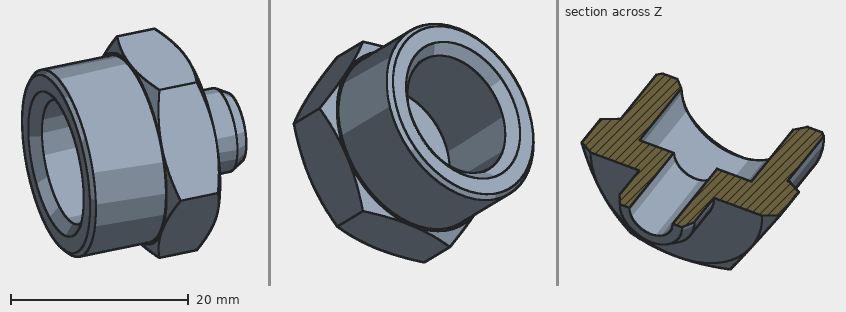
import cadquery as cq
import math

hex_corners = 25.4
hex_flats = hex_corners * math.cos(math.radians(30))
hex_length = 6.5
hex_chamfer_angle = 30.0

collar_diameter = 21.5
collar_length = 9.0
collar_chamfer = 0.5

spigot_diameter = 9.63
spigot_length = 6.0
spigot_taper_length = 1.42
spigot_taper_angle = 30.0

bore_diameter = 14.3
bore_depth = 11.0
bore_mouth_diameter = 16.65
bore_mouth_angle = 45.0
passage_diameter = 5.5

total_length = collar_length + hex_length + spigot_length


def revolve_profile(points):
    """Turn (radius, y) points around the Y axis."""
    profile = cq.Workplane("XY").polyline(points).close()
    return profile.revolve(360, (0, 0, 0), (0, 1, 0))


def make_hexagon():
    """Hexagon with corners on X, its corners turned off by a cone at both ends."""
    start = collar_length
    end = start + hex_length
    face_radius = hex_flats / 2
    corner_radius = hex_corners / 2
    corner_drop = (corner_radius - face_radius) * math.tan(math.radians(hex_chamfer_angle))
    prism = (
        cq.Workplane("XZ", origin=(0, start, 0))
        .polygon(6, hex_corners)
        .extrude(-hex_length)
    )
    overshoot = 0.25
    outer_radius = corner_radius + overshoot
    outer_drop = corner_drop * (outer_radius - face_radius) / (corner_radius - face_radius)
    envelope = revolve_profile([
        (0, start),
        (face_radius, start),
        (outer_radius, start + outer_drop),
        (outer_radius, end - outer_drop),
        (face_radius, end),
        (0, end),
    ])
    return prism.intersect(envelope)


def make_collar():
    radius = collar_diameter / 2
    return revolve_profile([
        (0, 0),
        (radius - collar_chamfer, 0),
        (radius, collar_chamfer),
        (radius, collar_length),
        (0, collar_length),
    ])


def make_spigot():
    start = collar_length + hex_length
    radius = spigot_diameter / 2
    tip_radius = radius - spigot_taper_length * math.tan(math.radians(spigot_taper_angle))
    return revolve_profile([
        (0, start),
        (radius, start),
        (radius, total_length - spigot_taper_length),
        (tip_radius, total_length),
        (0, total_length),
    ])


def make_passage():
    """Blind bore with a conical mouth, continued by a narrow through hole."""
    bore_radius = bore_diameter / 2
    mouth_radius = bore_mouth_diameter / 2
    passage_radius = passage_diameter / 2
    mouth_depth = (mouth_radius - bore_radius) / math.tan(math.radians(bore_mouth_angle))
    return revolve_profile([
        (0, 0),
        (mouth_radius, 0),
        (bore_radius, mouth_depth),
        (bore_radius, bore_depth),
        (passage_radius, bore_depth),
        (passage_radius, total_length),
        (0, total_length),
    ])


result = make_hexagon().union(make_collar()).union(make_spigot()).cut(make_passage())